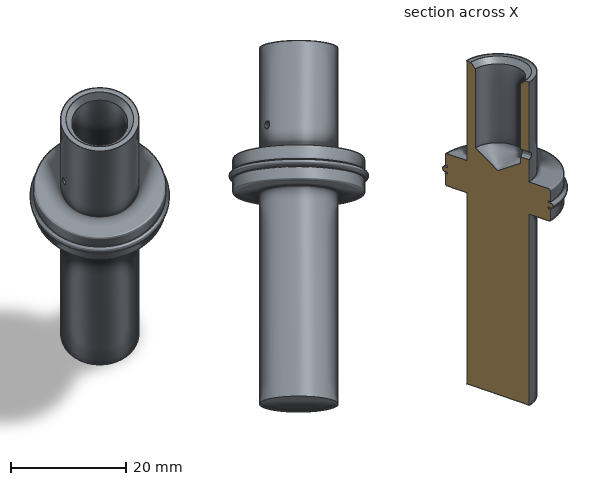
import cadquery as cq
import math

pin_length = 63.1
pin_radius = 6.8

flange_radius = 11.5
flange_height = 6.4
flange_bottom = 37.3
flange_edge_radius = 0.45

ring_section_radius = 0.5
ring_center_radius = 11.6
ring_height = flange_bottom + flange_height / 2
groove_width = 1.45
groove_depth = ring_section_radius

bore_radius = 4.85
bore_depth = 16.4
mouth_chamfer = 1.0
drill_point_angle = 118.0
drill_point_depth = bore_radius / math.tan(math.radians(drill_point_angle / 2))

inspection_diameter = 1.4
inspection_height = 48.7


def make_flange():
    """Rounded disc with a square groove in its rim."""
    disc = (
        cq.Workplane("XY", origin=(0, 0, flange_bottom))
        .circle(flange_radius)
        .extrude(flange_height)
        .edges()
        .fillet(flange_edge_radius)
    )
    groove = (
        cq.Workplane("XY", origin=(0, 0, ring_height - groove_width / 2))
        .circle(flange_radius + ring_section_radius)
        .circle(flange_radius - groove_depth)
        .extrude(groove_width)
    )
    return disc.cut(groove)


def make_seal_ring():
    """Ring with a rounded crown and a straight root sunk into the groove floor."""
    root_depth = groove_depth + ring_section_radius / 4
    inner_radius = ring_center_radius - root_depth
    return (
        cq.Workplane("XZ")
        .moveTo(inner_radius, ring_height - ring_section_radius)
        .lineTo(ring_center_radius, ring_height - ring_section_radius)
        .threePointArc(
            (ring_center_radius + ring_section_radius, ring_height),
            (ring_center_radius, ring_height + ring_section_radius),
        )
        .lineTo(inner_radius, ring_height + ring_section_radius)
        .close()
        .revolve(360, (0, 0, 0), (0, 1, 0))
    )


def make_bore():
    """Revolved cutter for the flared mouth, bore and conical bottom."""
    bore_bottom = pin_length - bore_depth
    return (
        cq.Workplane("XZ")
        .moveTo(0, pin_length)
        .lineTo(bore_radius + mouth_chamfer, pin_length)
        .lineTo(bore_radius, pin_length - mouth_chamfer)
        .lineTo(bore_radius, bore_bottom)
        .lineTo(0, bore_bottom - drill_point_depth)
        .close()
        .revolve(360, (0, 0, 0), (0, 1, 0))
    )


def make_inspection_hole():
    """Cutter running from the axis out through the -Y wall."""
    return (
        cq.Workplane("XZ", origin=(0, 0, inspection_height))
        .circle(inspection_diameter / 2)
        .extrude(pin_radius + inspection_diameter)
    )


shaft = cq.Workplane("XY").circle(pin_radius).extrude(pin_length)
body = shaft.union(make_flange()).union(make_seal_ring())
result = body.cut(make_bore()).cut(make_inspection_hole())